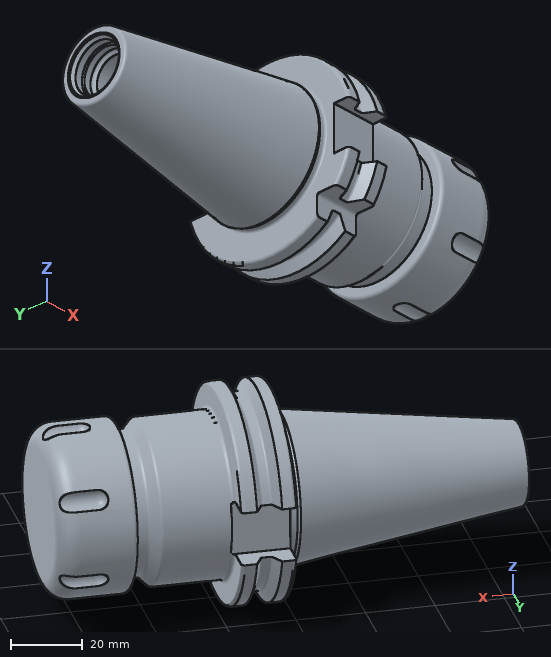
import cadquery as cq
import math


GAUGE_RADIUS = 44.45 / 2
TAPER_SLOPE = 7 / 48
TAPER_LENGTH = 68.25
SMALL_END_RADIUS = GAUGE_RADIUS - TAPER_SLOPE * TAPER_LENGTH
SMALL_END_FILLET = 0.9

RELIEF_RADIUS = 21.85
RELIEF_START_X = 0.9
RELIEF_FILLET = 0.8

FLANGE_START_X = 3.2
FLANGE_WIDTH = 15.9
FLANGE_END_X = FLANGE_START_X + FLANGE_WIDTH
FLANGE_RADIUS = 63.55 / 2
FLANGE_EDGE_FILLET = 1.0
GROOVE_X = 11.1
GROOVE_FLOOR_RADIUS = 56.25 / 2
GROOVE_FLOOR_HALF_WIDTH = 1.5
GROOVE_FLANK_ANGLE = 30
GROOVE_FILLET = 0.6
GROOVE_TOP_HALF_WIDTH = GROOVE_FLOOR_HALF_WIDTH + (
    FLANGE_RADIUS - GROOVE_FLOOR_RADIUS
) * math.tan(math.radians(GROOVE_FLANK_ANGLE))

KEYWAY_WIDTH = 16.1
FRONT_KEYWAY_FLOOR = 25.0
BACK_KEYWAY_FLOOR = 22.8
NOTCH_OFFSET = 18.5
NOTCH_FILLET = 1.0

BODY_RADIUS = 24.0
BODY_ROOT_FILLET = 1.2
NECK_RADIUS = 21.0
NECK_START_X = 43.3
SHOULDER_X = NECK_START_X - (BODY_RADIUS - NECK_RADIUS)
SHOULDER_FILLET = 1.0

MOUTH_RADIUS = 9.9
MOUTH_DEPTH = 0.3
COUNTERSINK_RADIUS = 9.4
COUNTERSINK_DEPTH = 1.6
COUNTERBORE_RADIUS = 8.5
COUNTERBORE_DEPTH = 4.2
THREAD_RADIUS = 8.0
THREAD_DEPTH = 7.15
RUNOUT_RADIUS = 7.6
RUNOUT_DEPTH = 7.9
BORE_RADIUS = 6.9
BORE_DEPTH = 34.0
DRILL_HALF_ANGLE = 59

NUT_START_X = 47.4
NUT_END_X = 70.0
NUT_RADIUS = 25.0
NUT_BACK_FILLET = 1.2
NUT_NOSE_FILLET = 6.0
SLOT_COUNT = 6
SLOT_RADIUS = 2.9
SLOT_AXIS_RADIUS = 25.5
SLOT_START_X = 58.2

MATCH_TOLERANCE = 0.001


def revolve_about_x(outline):
    """Turn an outline drawn as (x, radius) a full turn about the X axis."""
    return outline.close().revolve(360, (0, 0, 0), (1, 0, 0))


def circles_at(solid, x, radius):
    """Pick the circular edges centred on the axis at one x and radius."""
    return solid.edges("%CIRCLE").filter(
        lambda edge: abs(edge.arcCenter().x - x) < MATCH_TOLERANCE
        and abs(edge.radius() - radius) < MATCH_TOLERANCE
    )


def make_turned_holder():
    outline = (
        cq.Workplane("XY")
        .moveTo(-TAPER_LENGTH, 0)
        .lineTo(-TAPER_LENGTH, SMALL_END_RADIUS)
        .lineTo(0, GAUGE_RADIUS)
        .lineTo(RELIEF_START_X, RELIEF_RADIUS)
        .lineTo(FLANGE_START_X, RELIEF_RADIUS)
        .lineTo(FLANGE_START_X, FLANGE_RADIUS)
        .lineTo(GROOVE_X - GROOVE_TOP_HALF_WIDTH, FLANGE_RADIUS)
        .lineTo(GROOVE_X - GROOVE_FLOOR_HALF_WIDTH, GROOVE_FLOOR_RADIUS)
        .lineTo(GROOVE_X + GROOVE_FLOOR_HALF_WIDTH, GROOVE_FLOOR_RADIUS)
        .lineTo(GROOVE_X + GROOVE_TOP_HALF_WIDTH, FLANGE_RADIUS)
        .lineTo(FLANGE_END_X, FLANGE_RADIUS)
        .lineTo(FLANGE_END_X, BODY_RADIUS)
        .lineTo(SHOULDER_X, BODY_RADIUS)
        .lineTo(NECK_START_X, NECK_RADIUS)
        .lineTo(NUT_START_X, NECK_RADIUS)
        .lineTo(NUT_START_X, 0)
    )
    fillets = [
        (-TAPER_LENGTH, SMALL_END_RADIUS, SMALL_END_FILLET),
        (FLANGE_START_X, RELIEF_RADIUS, RELIEF_FILLET),
        (FLANGE_START_X, FLANGE_RADIUS, FLANGE_EDGE_FILLET),
        (GROOVE_X - GROOVE_FLOOR_HALF_WIDTH, GROOVE_FLOOR_RADIUS, GROOVE_FILLET),
        (GROOVE_X + GROOVE_FLOOR_HALF_WIDTH, GROOVE_FLOOR_RADIUS, GROOVE_FILLET),
        (FLANGE_END_X, FLANGE_RADIUS, FLANGE_EDGE_FILLET),
        (FLANGE_END_X, BODY_RADIUS, BODY_ROOT_FILLET),
        (SHOULDER_X, BODY_RADIUS, SHOULDER_FILLET),
        (NECK_START_X, NECK_RADIUS, SHOULDER_FILLET),
    ]
    holder = revolve_about_x(outline)
    for x, radius, size in fillets:
        holder = circles_at(holder, x, radius).fillet(size)
    return holder


def make_drawbar_hole():
    """Countersunk, counterbored blind hole with a drill-point end."""
    mouth_x = -TAPER_LENGTH
    counterbore_end_x = mouth_x + COUNTERBORE_DEPTH
    thread_start_x = counterbore_end_x + COUNTERBORE_RADIUS - THREAD_RADIUS
    runout_x = mouth_x + RUNOUT_DEPTH
    bore_start_x = runout_x + RUNOUT_RADIUS - BORE_RADIUS
    bore_end_x = mouth_x + BORE_DEPTH
    point_x = bore_end_x + BORE_RADIUS / math.tan(math.radians(DRILL_HALF_ANGLE))
    outline = (
        cq.Workplane("XY")
        .moveTo(mouth_x, 0)
        .lineTo(mouth_x, MOUTH_RADIUS)
        .lineTo(mouth_x + MOUTH_DEPTH, COUNTERSINK_RADIUS)
        .lineTo(mouth_x + COUNTERSINK_DEPTH, COUNTERBORE_RADIUS)
        .lineTo(counterbore_end_x, COUNTERBORE_RADIUS)
        .lineTo(thread_start_x, THREAD_RADIUS)
        .lineTo(mouth_x + THREAD_DEPTH, THREAD_RADIUS)
        .lineTo(runout_x, RUNOUT_RADIUS)
        .lineTo(bore_start_x, BORE_RADIUS)
        .lineTo(bore_end_x, BORE_RADIUS)
        .lineTo(point_x, 0)
    )
    return revolve_about_x(outline)


def make_keyway(floor, side):
    """Block above a keyway floor, also clearing the body root fillet; side is -1 for -Y, +1 for +Y."""
    depth = FLANGE_RADIUS
    length = FLANGE_WIDTH + BODY_ROOT_FILLET
    block = cq.Workplane("XY").box(length, depth, KEYWAY_WIDTH)
    return block.translate((FLANGE_START_X + length / 2, side * (floor + depth / 2), 0))


def make_notch():
    """Block that cuts the -Y, -Z corner of the flange."""
    size = FLANGE_RADIUS
    centre = -(NOTCH_OFFSET + size / 2)
    block = cq.Workplane("XY").box(FLANGE_WIDTH, size, size)
    block = block.edges("|X and >Y and >Z").fillet(NOTCH_FILLET)
    return block.translate(((FLANGE_START_X + FLANGE_END_X) / 2, centre, centre))


def make_holder():
    holder = make_turned_holder()
    holder = holder.cut(make_drawbar_hole())
    holder = holder.cut(make_keyway(FRONT_KEYWAY_FLOOR, -1))
    holder = holder.cut(make_keyway(BACK_KEYWAY_FLOOR, 1))
    return holder.cut(make_notch())


def make_wrench_slot():
    """Round-bottomed slot at +Z, with a ball-shaped end, open at the nut nose."""
    channel = (
        cq.Workplane("YZ", origin=(SLOT_START_X, 0, SLOT_AXIS_RADIUS))
        .circle(SLOT_RADIUS)
        .extrude(NUT_END_X - SLOT_START_X)
    )
    ball = cq.Workplane("XY").sphere(SLOT_RADIUS).translate((SLOT_START_X, 0, SLOT_AXIS_RADIUS))
    return channel.union(ball)


def make_nut():
    blank = cq.Workplane("YZ", origin=(NUT_START_X, 0, 0))
    nut = blank.circle(NUT_RADIUS).extrude(NUT_END_X - NUT_START_X)
    nut = nut.edges("<X").fillet(NUT_BACK_FILLET)
    nut = nut.edges(">X").fillet(NUT_NOSE_FILLET)
    slot = make_wrench_slot()
    for index in range(SLOT_COUNT):
        nut = nut.cut(slot.rotate((0, 0, 0), (1, 0, 0), index * 360 / SLOT_COUNT))
    return nut


holder = make_holder()
nut = make_nut()
result = cq.Compound.makeCompound([holder.val(), nut.val()])